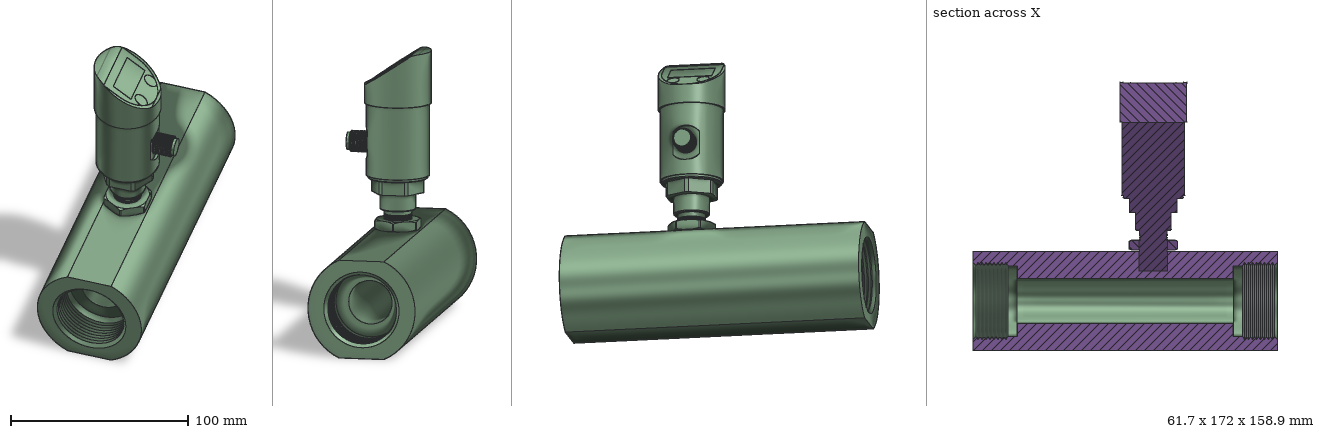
import cadquery as cq
import math

pipe_length = 172.0
pipe_diameter = 61.7
flat_height = 28.0
bore_diameter = 25.0
socket_diameter = 39.5
socket_thread_diameter = 43.3
socket_depth = 25.0
socket_pitch = 2.2
socket_turns = 8
socket_mouth_angle = 45
socket_thread_height = (socket_thread_diameter - socket_diameter) / 2
socket_mouth_depth = socket_thread_height / math.tan(math.radians(socket_mouth_angle))

sensor_y = -15.8
stem_bottom = 17.2
stem_diameter = 15.8
stem_core_diameter = 15.0
stem_pitch = 1.0
stem_turns = 3
collar_bottom = 39.9
collar_diameter = 20.3
collar_chamfer = 0.5
hex_bottom = 49.9
hex_across_flats = 27.0
hex_corner_diameter = 30.0
shoulder_bottom = 57.8
shoulder_diameter = 34.0
shoulder_chamfer = 0.5
housing_bottom = 59.5
housing_diameter = 35.8

nut_bottom = 28.7
nut_top = 34.4
nut_across_flats = 24.0
nut_corner_diameter = 27.3
nut_chamfer = 0.7

head_bottom = 101.0
head_top = 130.9
head_diameter = 37.8
slope_start_x = -11.2
slope_angle = 33.7
blend_radius = 9.8
lip_height = 111.6
panel_radius = 17.0
panel_depth = 0.25
window_depth = 0.2
window_center_x = 0.9
window_size_x = 10.5
window_size_y = 25.5
button_diameter = 6.9
button_x = 10.8
button_y = 8.6
button_rise = 0.2

connector_z = 78.0
connector_start = 16.2
connector_end = 28.9
connector_diameter = 12.0
connector_core_diameter = 11.0
connector_tip_diameter = 10.0
connector_pitch = 1.0
connector_turns = 11
spot_face_diameter = 20.0


def cylinder(diameter, bottom, top):
    """Upright cylinder on the Z axis."""
    return cq.Workplane("XY", origin=(0, 0, bottom)).circle(diameter / 2).extrude(top - bottom)


def threaded_rod(low_diameter, high_diameter, pitch, turns):
    """Rod rising from the origin along Z whose thread is a stack of V-shaped rings."""
    low = low_diameter / 2
    high = high_diameter / 2
    outline = cq.Workplane("XZ").lineTo(low, 0)
    for turn in range(turns):
        outline = outline.lineTo(high, (turn + 0.5) * pitch)
        outline = outline.lineTo(low, (turn + 1) * pitch)
    outline = outline.lineTo(0, turns * pitch).close()
    return outline.revolve(360, (0, 0, 0), (0, 1, 0))


def trimmed_hexagon(across_flats, corner_diameter, bottom, top):
    """Hexagonal prism with corners on the X axis, turned down to a corner diameter."""
    full_corner_diameter = across_flats / math.cos(math.pi / 6)
    prism = cq.Workplane("XY", origin=(0, 0, bottom)).polygon(6, full_corner_diameter).extrude(top - bottom)
    return prism.intersect(cylinder(corner_diameter, bottom, top))


def at_sensor(body):
    """Move a body built on the Z axis to the sensor axis."""
    return body.translate((0, sensor_y, 0))


def make_pipe():
    half_length = pipe_length / 2
    pipe = cq.Workplane("XZ").circle(pipe_diameter / 2).circle(bore_diameter / 2)
    pipe = pipe.extrude(half_length, both=True)
    pipe = pipe.intersect(cq.Workplane("XY").box(pipe_diameter, pipe_length, 2 * flat_height))
    socket = cylinder(socket_diameter, 0, socket_depth)
    mouth = cq.Workplane("XY").circle(socket_thread_diameter / 2)
    mouth = mouth.extrude(socket_mouth_depth, taper=socket_mouth_angle)
    thread = threaded_rod(socket_diameter, socket_thread_diameter, socket_pitch, socket_turns)
    socket = socket.union(mouth).union(thread.translate((0, 0, socket_mouth_depth)))
    for side in (-1, 1):
        laid = socket.rotate((0, 0, 0), (1, 0, 0), 90 * side)
        pipe = pipe.cut(laid.translate((0, side * half_length, 0)))
    return pipe.cut(at_sensor(cylinder(stem_diameter, stem_bottom, flat_height)))


def make_nut():
    nut = trimmed_hexagon(nut_across_flats, nut_corner_diameter, nut_bottom, nut_top)
    nut = nut.rotate((0, 0, 0), (0, 0, 1), 30)
    turned_blank = cylinder(nut_corner_diameter, nut_bottom, nut_top)
    nut = nut.intersect(turned_blank.edges().chamfer(nut_chamfer, 2 * nut_chamfer))
    return at_sensor(nut.cut(cylinder(stem_diameter, nut_bottom, nut_top)))


def make_sensor_body():
    thread_top = nut_top + stem_turns * stem_pitch
    body = cylinder(stem_diameter, stem_bottom, nut_top)
    exposed_thread = threaded_rod(stem_core_diameter, stem_diameter, stem_pitch, stem_turns)
    body = body.union(exposed_thread.translate((0, 0, nut_top)))
    body = body.union(cylinder(stem_diameter, thread_top, collar_bottom))
    collar = cylinder(collar_diameter, collar_bottom, hex_bottom)
    body = body.union(collar.faces("<Z").chamfer(collar_chamfer))
    body = body.union(trimmed_hexagon(hex_across_flats, hex_corner_diameter, hex_bottom, shoulder_bottom))
    shoulder = cylinder(shoulder_diameter, shoulder_bottom, housing_bottom)
    body = body.union(shoulder.faces("<Z").chamfer(shoulder_chamfer))
    body = body.union(cylinder(housing_diameter, housing_bottom, head_bottom))
    spot_face = cq.Workplane("YZ", origin=(connector_start, 0, connector_z))
    spot_face = spot_face.circle(spot_face_diameter / 2).extrude(housing_diameter / 2)
    return at_sensor(body.cut(spot_face))


def slope_height(x):
    """Height of the sloping display face at a given X."""
    return head_top - (x - slope_start_x) * math.tan(math.radians(slope_angle))


def layer_below_slope(plan_prism, upper_depth, lower_depth):
    """Part of an upright prism between two vertical depths below the sloping face."""
    left = slope_start_x
    right = head_diameter / 2
    layer = cq.Workplane("XZ").polyline([
        (left, slope_height(left) - upper_depth),
        (right, slope_height(right) - upper_depth),
        (right, slope_height(right) - lower_depth),
        (left, slope_height(left) - lower_depth),
    ]).close().extrude(head_diameter, both=True)
    return plan_prism.intersect(layer)


def make_head():
    radius = head_diameter / 2
    profile = cq.Workplane("XZ").polyline([
        (-radius, head_bottom),
        (radius, head_bottom),
        (radius, lip_height),
        (panel_radius, slope_height(panel_radius)),
        (slope_start_x, head_top),
        (-radius, head_top),
    ]).close().extrude(radius, both=True)
    ridge = cq.selectors.NearestToPointSelector((slope_start_x, 0, head_top))
    profile = profile.edges(ridge).fillet(blend_radius)
    head = cylinder(head_diameter, head_bottom, head_top).intersect(profile)

    blend_tangent = blend_radius * math.tan(math.radians(slope_angle / 2))
    panel_start_x = slope_start_x + blend_tangent * math.cos(math.radians(slope_angle))
    panel = cq.Workplane("XY", origin=(0, 0, head_bottom)).moveTo(panel_start_x, -panel_radius)
    panel = panel.lineTo(0, -panel_radius).threePointArc((panel_radius, 0), (0, panel_radius))
    panel = panel.lineTo(panel_start_x, panel_radius).close().extrude(head_top - head_bottom)
    head = head.cut(layer_below_slope(panel, -panel_depth, panel_depth))

    window = cq.Workplane("XY", origin=(window_center_x, 0, head_bottom))
    window = window.rect(window_size_x, window_size_y).extrude(head_top - head_bottom)
    head = head.cut(layer_below_slope(window, 0, panel_depth + window_depth))

    button_root = 2 * panel_depth
    for side in (-1, 1):
        button = cylinder(button_diameter, head_bottom, head_top).translate((button_x, side * button_y, 0))
        head = head.union(layer_below_slope(button, panel_depth - button_rise, button_root))
    return at_sensor(head)


def make_connector():
    thread_length = connector_turns * connector_pitch
    length = connector_end - connector_start
    connector = threaded_rod(connector_core_diameter, connector_diameter, connector_pitch, connector_turns)
    connector = connector.union(cylinder(connector_tip_diameter, thread_length, length))
    connector = connector.rotate((0, 0, 0), (0, 1, 0), 90)
    return at_sensor(connector.translate((connector_start, 0, connector_z)))


pipe = make_pipe()
nut = make_nut()
sensor_body = make_sensor_body()
head = make_head()
connector = make_connector()

result = cq.Compound.makeCompound([
    pipe.val(),
    nut.val(),
    sensor_body.val(),
    head.val(),
    connector.val(),
])